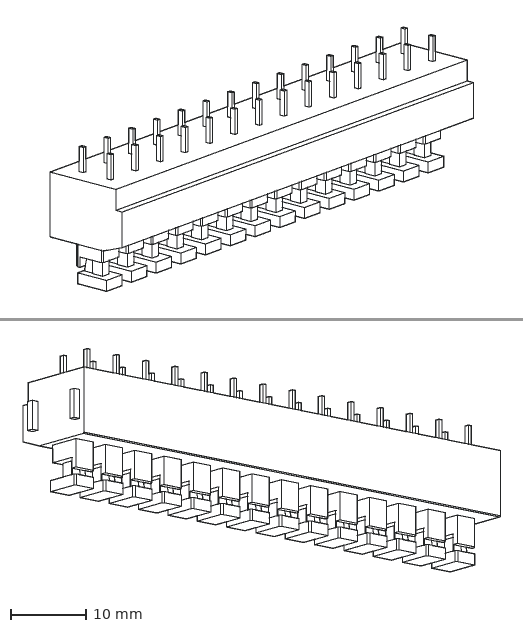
import cadquery as cq


overall_height = 18.7

housing_width = 12.6
housing_length = 72.2
housing_height = 9.1
top_width = 11.5
shoulder_z = 6.15
slope_start_x = 9.3
slope_end_z = 1.2
bottom_chamfer = 0.15

pole_count = 14
pole_row_length = 66.0
pole_pitch = pole_row_length / (pole_count - 1)
first_pole_y = 2.9

pin_x_positions = (3.2, 8.05)
pin_size_x = 0.7
pin_size_y = 0.5
pin_height = 3.5

peg_spans_x = ((0.9, 1.75), (9.5, 10.5))
peg_length = 0.95
peg_bottom_z = 2.2
peg_top_z = shoulder_z

guide_x_min = 2.9
guide_x_max = 7.75
guide_width_y = 3.4
guide_offset_y = 0.45
guide_depth = 2.4
tongue_thickness = 0.9
tongue_depth = 3.9
guide_left_chamfer_x = 0.5
guide_left_chamfer_y = 0.4
guide_right_chamfer = 0.2

head_offset_y = 0.15
head_x_min = 3.6
head_x_max = 8.6
head_width_y = 3.2
head_height = 1.5
head_chamfer_x = 0.2
head_chamfer_y = 0.3
button_bottom_z = housing_height + pin_height - overall_height
head_top_z = button_bottom_z + head_height
stem_offset_y = 0.2
stem_x_min = 5.35
stem_x_max = 7.1
stem_width_y = 1.3
web_top_x = 4.25
web_bottom_x = 3.7
web_width_y = 0.95


def box(x_span, y_span, z_span):
    """Axis-aligned box given by its (low, high) span on each axis."""
    spans = (x_span, y_span, z_span)
    sizes = [high - low for low, high in spans]
    corner = tuple(low for low, high in spans)
    return cq.Workplane("XY").box(*sizes, centered=False).translate(corner)


def around(centre, size):
    """Span of the given size around a centre."""
    return (centre - size / 2, centre + size / 2)


def prism_along_y(points, y_span):
    """XZ outline extruded over a span in Y."""
    low, high = y_span
    return cq.Workplane("XZ", origin=(0, low, 0)).polyline(points).close().extrude(low - high)


def prism_along_z(points, z_span):
    """XY outline extruded over a span in Z."""
    low, high = z_span
    return cq.Workplane("XY", origin=(0, 0, low)).polyline(points).close().extrude(high - low)


def make_housing():
    """Full-length body with the alignment pegs on its +Y end."""
    outline = [
        (0, bottom_chamfer),
        (bottom_chamfer, 0),
        (slope_start_x, 0),
        (housing_width, slope_end_z),
        (housing_width, shoulder_z),
        (top_width, shoulder_z),
        (top_width, housing_height),
        (0, housing_height),
    ]
    housing = prism_along_y(outline, (0, housing_length))
    for peg_span_x in peg_spans_x:
        peg_span_y = (housing_length, housing_length + peg_length)
        housing = housing.union(box(peg_span_x, peg_span_y, (peg_bottom_z, peg_top_z)))
    return housing


def make_pin(pin_x, pole_y):
    """Solder pin standing on the housing."""
    pin_span_z = (housing_height, housing_height + pin_height)
    return box(around(pin_x, pin_size_x), around(pole_y, pin_size_y), pin_span_z)


def make_guide(pole_y):
    """Corner-chamfered block under the housing, notched to leave the tongue."""
    y_min, y_max = around(pole_y + guide_offset_y, guide_width_y)
    plan = [
        (guide_x_min, y_max),
        (guide_x_min, y_min + guide_left_chamfer_y),
        (guide_x_min + guide_left_chamfer_x, y_min),
        (guide_x_max - guide_right_chamfer, y_min),
        (guide_x_max, y_min + guide_right_chamfer),
        (guide_x_max, y_max),
    ]
    guide = prism_along_z(plan, (-tongue_depth, 0))
    tongue_x_max = guide_x_min + tongue_thickness
    beside_tongue = box((tongue_x_max, guide_x_max), (y_min, y_max), (-tongue_depth, -guide_depth))
    return guide.cut(beside_tongue)


def make_button(pole_y):
    """Head, stem and the thinner leaning web on the stem's -X side."""
    y_min, y_max = around(pole_y + head_offset_y, head_width_y)
    head_plan = [
        (head_x_min, y_min),
        (head_x_max, y_min),
        (head_x_max, y_max),
        (head_x_min + head_chamfer_x, y_max),
        (head_x_min, y_max - head_chamfer_y),
    ]
    head = prism_along_z(head_plan, (button_bottom_z, head_top_z))

    stem_y = pole_y + stem_offset_y
    stem_span_z = (head_top_z, -guide_depth)
    stem = box((stem_x_min, stem_x_max), around(stem_y, stem_width_y), stem_span_z)
    web_outline = [
        (web_bottom_x, head_top_z),
        (stem_x_min, head_top_z),
        (stem_x_min, -guide_depth),
        (web_top_x, -guide_depth),
    ]
    web = prism_along_y(web_outline, around(stem_y, web_width_y))
    return head.union(stem).union(web)


result = make_housing()
for pole in range(pole_count):
    pole_y = first_pole_y + pole * pole_pitch
    for pin_x in pin_x_positions:
        result = result.union(make_pin(pin_x, pole_y))
    result = result.union(make_guide(pole_y)).union(make_button(pole_y))